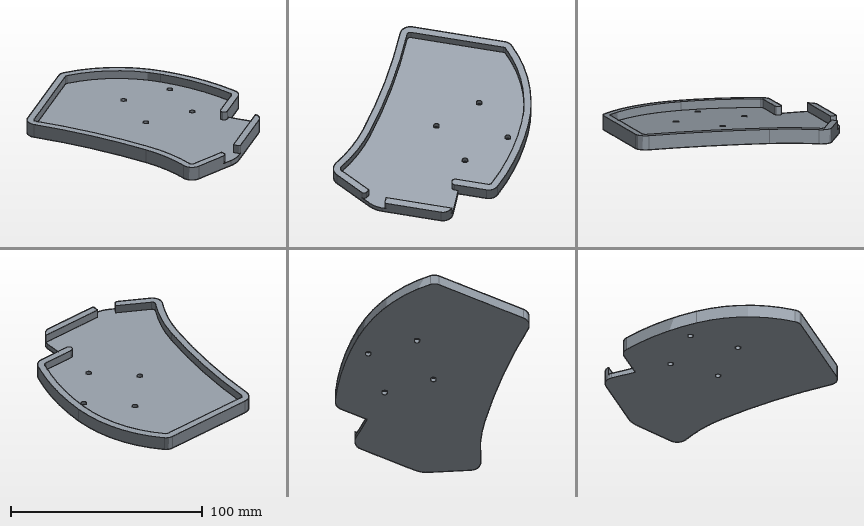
import cadquery as cq
import math

height = 7.6
floor_thickness = 3.0
wall_height = height - floor_thickness

outer_radius = 5.5
wall = 3.7
inner_radius = outer_radius - wall

length = 114.74
width = 94.36
left_x = -57.05
top_y = 28.57

core_left = left_x + outer_radius
core_right = left_x + length - outer_radius
core_top = top_y - outer_radius
core_bottom = top_y - width + outer_radius
arm_x = 38.9
core_arm = arm_x - outer_radius
step_y = 0.3
core_step = step_y - outer_radius

crown_x = -7.3
crown_left_radius = 66.0
crown_right_radius = 113.5
belly_left_y = -43.1
belly_radius = 316.0
belly_end_x = 14.0

slant_angle = math.radians(60)
bottom_corner_x = 39.85
slant_blend_radius = 9.0

right_wall_end_y = -35.1
slant_wall_length = 19.0
right_wall_end_round = 0.7
slant_wall_end_round = 1.8

hole_diameter = 2.9
hole_circle_radius = 19.0
hole_count = 4


def on_circle(center, radius, x):
    """Point at x on the upper half of a circle."""
    return (x, center[1] + math.sqrt(radius**2 - (x - center[0])**2))


def along_slant(distance, inward):
    """Point a distance up the slanted core edge, moved inward square to that edge."""
    cos_a = math.cos(slant_angle)
    sin_a = math.sin(slant_angle)
    return (
        bottom_corner_x + distance * cos_a - inward * sin_a,
        core_bottom + distance * sin_a + inward * cos_a,
    )


def core_prism(depth):
    """Core outline extruded; the obtuse corner on the right is blended."""
    left_center = (crown_x, core_top - crown_left_radius)
    right_center = (crown_x, core_top - crown_right_radius)
    belly_center = (core_left, belly_left_y - belly_radius)
    slant_top_y = core_bottom + (core_right - bottom_corner_x) * math.tan(slant_angle)
    crown_left_mid = on_circle(left_center, crown_left_radius, (core_left + crown_x) / 2)
    crown_right_mid = on_circle(right_center, crown_right_radius, (crown_x + core_arm) / 2)
    belly_mid = on_circle(belly_center, belly_radius, (core_left + belly_end_x) / 2)
    return (
        cq.Workplane("XY")
        .moveTo(core_left, belly_left_y)
        .threePointArc(belly_mid, on_circle(belly_center, belly_radius, belly_end_x))
        .tangentArcPoint((bottom_corner_x, core_bottom), relative=False)
        .lineTo(core_right, slant_top_y)
        .lineTo(core_right, core_step)
        .lineTo(core_arm, core_step)
        .lineTo(*on_circle(right_center, crown_right_radius, core_arm))
        .threePointArc(crown_right_mid, (crown_x, core_top))
        .threePointArc(crown_left_mid, on_circle(left_center, crown_left_radius, core_left))
        .close()
        .extrude(depth)
        .edges(cq.selectors.NearestToPointSelector((core_right, slant_top_y, depth / 2)))
        .fillet(slant_blend_radius)
    )


def grown_prism(offset, depth):
    """Core outline grown outward by an offset, with round corners."""
    return core_prism(depth).faces("<Z").wires().toPending().offset2D(offset).extrude(depth)


def round_wall_end(rim, point, radius):
    """Round the upright edge of the rim nearest to a point."""
    edge = cq.selectors.NearestToPointSelector((*point, wall_height / 2))
    return rim.edges("|Z").edges(edge).fillet(radius)


def make_rim():
    """Raised wall, standing on z = 0, with its two gaps."""
    rim = grown_prism(outer_radius, wall_height).cut(grown_prism(inner_radius, wall_height))

    right_wall_inner = core_right + inner_radius
    arm_inner = arm_x - wall
    gap_bottom = core_step - inner_radius
    rim = rim.cut(
        cq.Workplane("XY")
        .moveTo(arm_inner, gap_bottom)
        .lineTo(right_wall_inner, gap_bottom)
        .lineTo(right_wall_inner, step_y)
        .lineTo(arm_inner, step_y)
        .close()
        .extrude(wall_height)
    )

    arm_end = core_step + inner_radius
    arm_length = 3 * wall
    rim = rim.union(
        cq.Workplane("XY")
        .center(arm_x - wall / 2, arm_end + arm_length / 2)
        .slot2D(arm_length, wall, 90)
        .extrude(wall_height)
    )

    reach = 2 * outer_radius
    rim = rim.cut(
        cq.Workplane("XY")
        .moveTo(core_right - reach, right_wall_end_y)
        .lineTo(core_right + reach, right_wall_end_y)
        .lineTo(*along_slant(slant_wall_length, -reach))
        .lineTo(*along_slant(slant_wall_length, reach))
        .close()
        .extrude(wall_height)
    )
    right_end = (core_right + outer_radius, right_wall_end_y)
    rim = round_wall_end(rim, right_end, right_wall_end_round)
    slant_end = along_slant(slant_wall_length, -outer_radius)
    return round_wall_end(rim, slant_end, slant_wall_end_round)


def make_holes():
    """Through holes spaced evenly on a circle."""
    return (
        cq.Workplane("XY")
        .polarArray(hole_circle_radius, 0, 360, hole_count)
        .circle(hole_diameter / 2)
        .extrude(floor_thickness)
    )


base = grown_prism(outer_radius, floor_thickness).cut(make_holes())
result = base.union(make_rim().translate((0, 0, floor_thickness)))